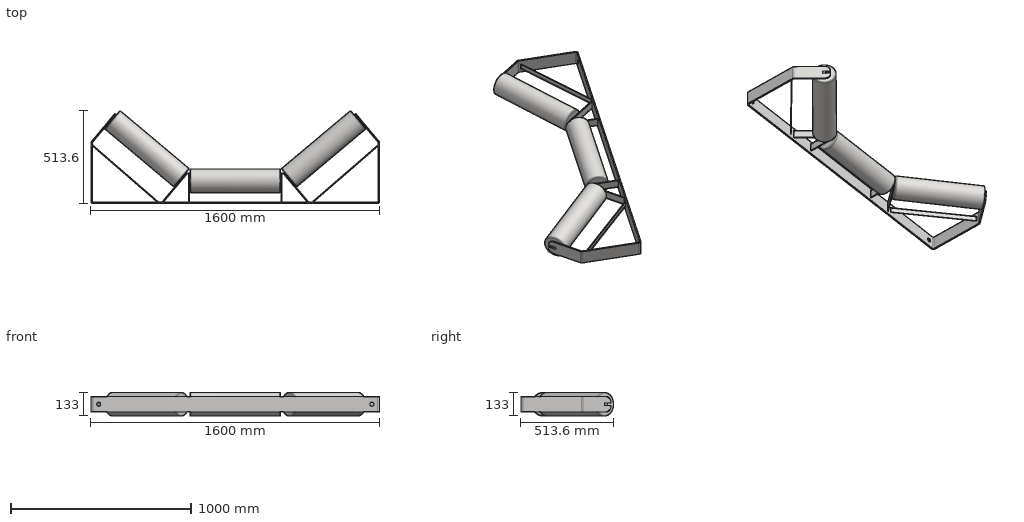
import cadquery as cq
import math

frame_length = 1600.0
frame_height = 85.0
strip_thickness = 8.0
bend_radius = 13.0
mount_hole_diameter = 22.0
mount_hole_inset = 43.0

roller_diameter = 133.0
roller_length = 500.0
roller_edge_radius = 5.0
end_gap = 3.0
shaft_diameter = 20.0
shaft_flat_width = 15.0
trough_angle = 40.0
middle_axis_y = 126.0
side_centre_x = 490.0
side_centre_y = 304.0

bracket_tip = 35.0
bracket_corner_radius = 32.0

support_height = 50.0
support_thickness = 6.0
support_top_y = 170.0

brace_height = 32.0
brace_thickness = 5.0
brace_top_y = 326.0
brace_foot_x = 424.0

inner_face = roller_length / 2 + end_gap
outer_face = inner_face + strip_thickness
support_face = inner_face + support_thickness
half_length = frame_length / 2
cosine = math.cos(math.radians(trough_angle))
sine = math.sin(math.radians(trough_angle))


def right_point(along, across):
    """Point in the local frame of the right roller: along its axis outward, across it upward."""
    return (
        side_centre_x + along * cosine - across * sine,
        side_centre_y + along * sine + across * cosine,
    )


def across_at_y(along, y):
    """Distance across the right roller's axis at which a face at `along` reaches height y."""
    return (y - side_centre_y - along * sine) / cosine


def across_at_x(along, x):
    """Distance across the right roller's axis at which a face at `along` reaches x."""
    return (side_centre_x + along * cosine - x) / sine


def place_right(shape):
    """Move a shape from the X axis to the axis of the right roller."""
    return shape.rotate((0, 0, 0), (0, 0, 1), trough_angle).translate((side_centre_x, side_centre_y, 0))


def place_middle(shape):
    """Move a shape from the X axis to the axis of the middle roller."""
    return shape.translate((0, middle_axis_y, 0))


def mirrored(shape):
    """Copy of a shape on the other side of the X = 0 plane."""
    return shape.mirror("YZ")


def plate(points, height):
    """Upright plate over a polygon in XY, centred on Z = 0."""
    return cq.Workplane("XY").polyline(points).close().extrude(height / 2, both=True)


def shaft(start, end):
    """Shaft along the X axis from start to end, with two flats facing +Z and -Z."""
    length = end - start
    rod = cq.Workplane("YZ").circle(shaft_diameter / 2).extrude(length)
    flats = cq.Workplane("XY").box(length, shaft_diameter, shaft_flat_width).translate((length / 2, 0, 0))
    return rod.intersect(flats).translate((start, 0, 0))


def middle_shaft():
    """Shaft of the middle roller, flush with the two posts."""
    return place_middle(shaft(-support_face, support_face))


def right_shaft():
    """Shaft of the right roller, flush with the leg and the end bracket."""
    return place_right(shaft(-support_face, outer_face))


def barrel():
    """Roller barrel centred on the X axis, with rounded end edges."""
    start = cq.Workplane("YZ", origin=(-roller_length / 2, 0, 0))
    cylinder = start.circle(roller_diameter / 2).extrude(roller_length)
    return cylinder.edges("%CIRCLE").fillet(roller_edge_radius)


def middle_roller():
    """Level roller, one solid with its shaft ends."""
    return place_middle(barrel()).union(middle_shaft())


def right_roller():
    """Sloping roller, one solid with its shaft ends."""
    return place_right(barrel()).union(right_shaft())


def outer_strip():
    """Half of the bent frame strip: base, upright side and end bracket, with its bends."""
    inner_x = half_length - strip_thickness
    outer_bend = right_point(outer_face, across_at_x(outer_face, half_length))
    inner_bend = right_point(inner_face, across_at_x(inner_face, inner_x))
    points = [
        (0, 0),
        (half_length, 0),
        outer_bend,
        right_point(outer_face, bracket_tip),
        right_point(inner_face, bracket_tip),
        inner_bend,
        (inner_x, strip_thickness),
        (0, strip_thickness),
    ]
    strip = plate(points, frame_height)
    inner_radius = bend_radius - strip_thickness
    for corner, radius in (
        ((half_length, 0), bend_radius),
        (outer_bend, bend_radius),
        ((inner_x, strip_thickness), inner_radius),
        (inner_bend, inner_radius),
    ):
        strip = strip.edges(cq.selectors.NearestToPointSelector((*corner, 0))).fillet(radius)
    for side in (-1, 1):
        tip_x, tip_y = right_point((inner_face + outer_face) / 2, bracket_tip)
        tip_corner = cq.selectors.NearestToPointSelector((tip_x, tip_y, side * frame_height / 2))
        strip = strip.edges(tip_corner).fillet(bracket_corner_radius)
    return strip


def shaft_slot(start, thickness, depth):
    """Cutter, about the X axis, for a slot from a shaft end up through the edge of its strip."""
    opening = cq.Workplane("XY").box(thickness, depth, shaft_flat_width)
    return opening.translate((start + thickness / 2, depth / 2, 0))


def inner_support():
    """Right inner support: post, short top and sloping leg, standing on the base."""
    foot = strip_thickness / 2
    lower_y = support_top_y - support_thickness
    points = [
        (inner_face, foot),
        (inner_face, support_top_y),
        right_point(-inner_face, across_at_y(-inner_face, support_top_y)),
        right_point(-inner_face, across_at_y(-inner_face, foot)),
        right_point(-support_face, across_at_y(-support_face, foot)),
        right_point(-support_face, across_at_y(-support_face, lower_y)),
        (support_face, lower_y),
        (support_face, foot),
    ]
    return plate(points, support_height)


def brace():
    """Right brace, from the base up to the upright side."""
    foot = (brace_foot_x, strip_thickness / 2)
    top = (half_length - strip_thickness / 2, brace_top_y)
    run, rise = top[0] - foot[0], top[1] - foot[1]
    length = math.hypot(run, rise)
    bar = cq.Workplane("XY").box(length, brace_thickness, brace_height)
    bar = bar.rotate((0, 0, 0), (0, 0, 1), math.degrees(math.atan2(rise, run)))
    return bar.translate(((foot[0] + top[0]) / 2, (foot[1] + top[1]) / 2, 0))


def mount_hole():
    """Cutter for the mounting hole through the right end of the base."""
    hole = cq.Workplane("XZ").circle(mount_hole_diameter / 2).extrude(-strip_thickness)
    return hole.translate((half_length - mount_hole_inset, 0, 0))


def shaft_openings():
    """Cutters for the right half: shaft ends and the slots through which they drop in."""
    support_slot_depth = support_top_y - middle_axis_y
    post_slot = shaft_slot(inner_face, support_thickness, support_slot_depth)
    leg_slot = shaft_slot(-support_face, support_thickness, support_slot_depth)
    bracket_slot = shaft_slot(inner_face, strip_thickness, bracket_tip)
    return [
        middle_shaft(),
        right_shaft(),
        place_middle(post_slot),
        place_right(leg_slot),
        place_right(bracket_slot),
    ]


def frame():
    """Welded frame, symmetric about X = 0, with an opening for every shaft end."""
    half = outer_strip().union(inner_support()).union(brace()).cut(mount_hole())
    for opening in shaft_openings():
        half = half.cut(opening)
    return half.union(mirrored(half)).clean()


conveyor_frame = frame()
side_roller = right_roller()
rollers = [middle_roller(), side_roller, mirrored(side_roller)]

result = cq.Compound.makeCompound([conveyor_frame.val(), *[roller.val() for roller in rollers]])